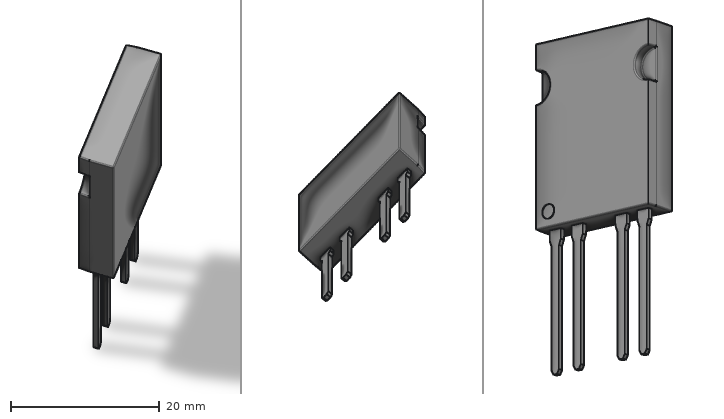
import cadquery as cq
import math

housing_depth = 5.02
housing_width = 19.9
overall_height = 46.5
housing_height = 26.15
edge_radius = 0.2

parting_depth = 1.55
front_inset = 0.15

notch_radius = 2.4
notch_centre_inset = edge_radius
notch_height = 20.0

lead_length = overall_height - housing_height
lead_pitch = 3.8
lead_positions = (-2, -1, 1, 2)
lead_thickness = 0.7
lead_width = 1.3
shoulder_width = 1.95
shoulder_length = 1.5
shoulder_taper = 0.85
tip_length = 0.6
tip_width = 0.65

mark_radius = 1.02
mark_depth = 0.1
mark_height = 2.2
mark_y = 2 * lead_pitch

half_width = housing_width / 2
front_half_width = half_width - front_inset
notch_centre = half_width - notch_centre_inset

arc_bend = edge_radius * (1 - math.sqrt(0.5))


def make_front_layer():
    """Drafted layer in front of the parting plane, with a rounded notch through each side."""
    outline = [
        (0, -front_half_width),
        (parting_depth, -half_width),
        (parting_depth, half_width),
        (0, front_half_width),
    ]
    layer = cq.Workplane("XY").polyline(outline).close().extrude(housing_height)
    for side in (-1, 1):
        notch = (
            cq.Workplane("YZ")
            .center(side * notch_centre, notch_height)
            .circle(notch_radius)
            .extrude(parting_depth)
        )
        layer = layer.cut(notch)

    rounded_edges = (
        layer.faces("<Z or >Z").edges("not >X")
        .add(layer.faces("<X").edges("|Z and >Y"))
        .add(layer.faces("<X").edges("%CIRCLE"))
        .add(layer.edges("%ELLIPSE"))
    )
    return layer.newObject(rounded_edges.vals()).fillet(edge_radius)


def make_rear_layer():
    """Straight-sided layer behind the parting plane, rounded all round except at that plane."""
    layer = cq.Workplane("XY").box(
        housing_depth - parting_depth, housing_width, housing_height, centered=(False, True, False)
    )
    return layer.edges("not <X").fillet(edge_radius).translate((parting_depth, 0, 0))


def make_notch_lip():
    """Material removed to round the outer edge of the +Y notch floor."""
    return (
        cq.Workplane("XY", origin=(0, 0, notch_height - notch_radius))
        .moveTo(parting_depth, half_width)
        .lineTo(parting_depth, half_width - edge_radius)
        .threePointArc(
            (parting_depth + arc_bend, half_width - arc_bend),
            (parting_depth + edge_radius, half_width),
        )
        .close()
        .extrude(2 * notch_radius)
    )


def make_notch_cove():
    """Half ring that rounds the inner corner between wall and floor of the +Y notch."""
    inner_radius = notch_radius - edge_radius
    outer_radius = notch_radius + edge_radius
    return (
        cq.Workplane("XZ", origin=(0, notch_centre, notch_height))
        .moveTo(parting_depth, inner_radius)
        .threePointArc(
            (parting_depth - arc_bend, notch_radius - arc_bend),
            (parting_depth - edge_radius, notch_radius),
        )
        .lineTo(parting_depth - edge_radius, outer_radius)
        .lineTo(parting_depth, outer_radius)
        .close()
        .revolve(180, (0, 0, 0), (1, 0, 0))
    )


def make_housing():
    """Moulded block with finished notches and a recess for the mark."""
    lip = make_notch_lip()
    cove = make_notch_cove()
    block = make_front_layer().union(make_rear_layer())
    block = block.cut(lip).cut(lip.mirror("XZ"))
    block = block.union(cove).union(cove.mirror("XZ"))
    return block.clean().cut(make_mark())


def make_mark():
    """Thin disc whose face lies in the front face of the housing."""
    return (
        cq.Workplane("YZ")
        .center(mark_y, mark_height)
        .circle(mark_radius)
        .extrude(mark_depth)
    )


def make_lead(y):
    """Flat lead with a wide shoulder under the housing and a tapered tip."""
    taper_end = -(shoulder_length + shoulder_taper)
    right_side = [
        (shoulder_width / 2, 0),
        (shoulder_width / 2, -shoulder_length),
        (lead_width / 2, taper_end),
        (lead_width / 2, tip_length - lead_length),
        (tip_width / 2, -lead_length),
    ]
    left_side = [(-across, z) for across, z in reversed(right_side)]
    return (
        cq.Workplane("YZ", origin=(parting_depth, y, 0))
        .polyline(right_side + left_side)
        .close()
        .extrude(lead_thickness)
    )


housing = make_housing()
mark = make_mark()
leads = [make_lead(position * lead_pitch) for position in lead_positions]

result = cq.Compound.makeCompound(
    [housing.val(), mark.val(), *[lead.val() for lead in leads]]
)